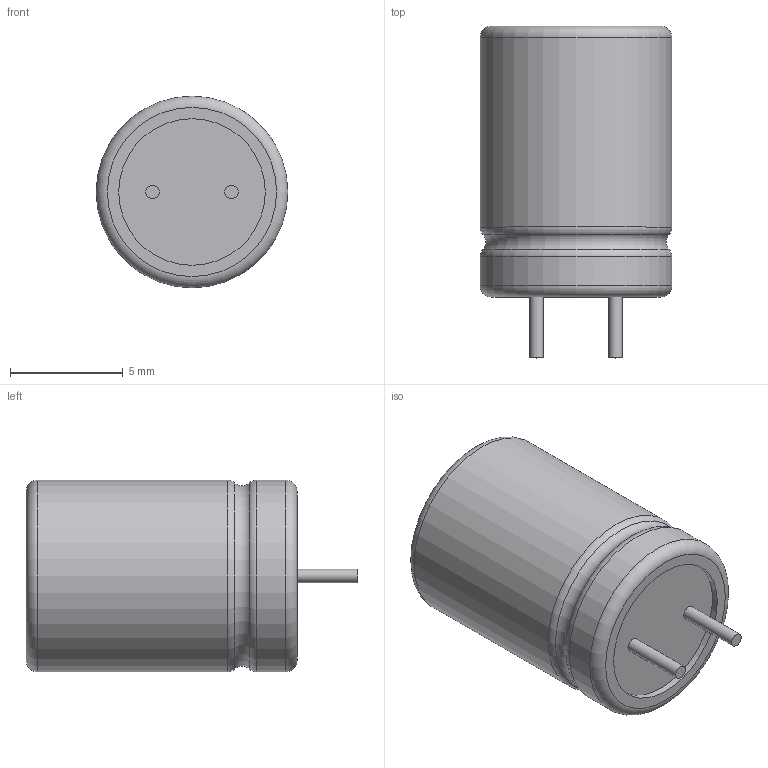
import cadquery as cq
import math


can_diameter = 8.5
can_length = 12.01
rim_radius = 0.5

groove_center = 2.44
groove_depth = 0.25
groove_radius = 0.5

recess_diameter = 6.5
recess_depth = 0.3

lead_diameter = 0.6
lead_pitch = 3.5
lead_projection = 2.7

can_radius = can_diameter / 2


def make_can():
    """Revolve the can outline, with rounded ends and the crimp groove, about Y."""
    end_radius = can_radius - rim_radius
    rim_mid_inset = rim_radius * (1 - math.sqrt(0.5))
    rim_mid_radius = can_radius - rim_mid_inset

    arc_angle = math.acos(1 - groove_depth / (2 * groove_radius))
    arc_height = groove_radius * math.sin(arc_angle)
    shoulder_mid_height = 2 * arc_height - groove_radius * math.sin(arc_angle / 2)
    shoulder_mid_radius = can_radius - groove_radius * (1 - math.cos(arc_angle / 2))
    floor_edge_radius = can_radius - groove_depth / 2
    floor_radius = can_radius - groove_depth

    return (
        cq.Workplane("XY")
        .lineTo(end_radius, 0)
        .threePointArc((rim_mid_radius, rim_mid_inset), (can_radius, rim_radius))
        .lineTo(can_radius, groove_center - 2 * arc_height)
        .threePointArc(
            (shoulder_mid_radius, groove_center - shoulder_mid_height),
            (floor_edge_radius, groove_center - arc_height),
        )
        .threePointArc(
            (floor_radius, groove_center),
            (floor_edge_radius, groove_center + arc_height),
        )
        .threePointArc(
            (shoulder_mid_radius, groove_center + shoulder_mid_height),
            (can_radius, groove_center + 2 * arc_height),
        )
        .lineTo(can_radius, can_length - rim_radius)
        .threePointArc((rim_mid_radius, can_length - rim_mid_inset), (end_radius, can_length))
        .lineTo(0, can_length)
        .close()
        .revolve(360, (0, 0), (0, 1))
    )


def y_cylinder(diameter, start_y, end_y, x=0):
    """Cylinder parallel to Y between two Y positions."""
    return (
        cq.Workplane("XZ", origin=(x, start_y, 0))
        .circle(diameter / 2)
        .extrude(start_y - end_y)
    )


result = make_can().cut(y_cylinder(recess_diameter, 0, recess_depth))

for side in (-1, 1):
    lead = y_cylinder(lead_diameter, -lead_projection, recess_depth, side * lead_pitch / 2)
    result = result.union(lead)